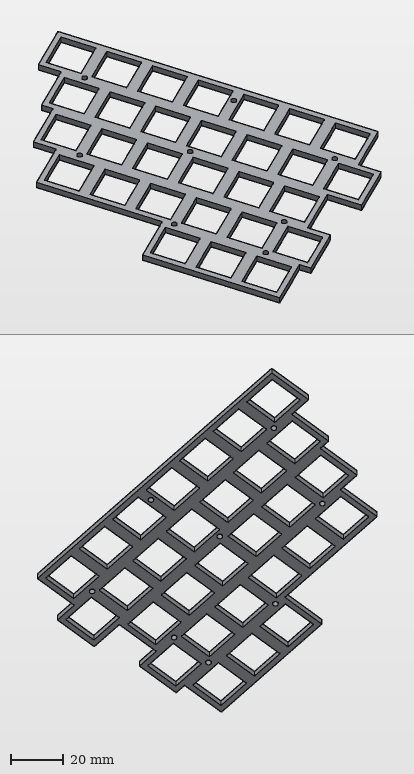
import cadquery as cq

plate_length = 142.9
cells_along_length = 7.5
pitch = plate_length / cells_along_length
thickness = 3.0

cell_border = 2.3
opening = pitch - 2 * cell_border

rows = [(0, 7), (0.5, 7), (0.75, 6), (1.25, 6), (4, 3)]
plate_width = len(rows) * pitch

screw_diameter = 2.1
screw_shift = 0.63
back_screw_shift = 2.7
screws = [
    (4, 4.5, back_screw_shift),
    (1, 4, screw_shift),
    (6.5, 4, -screw_shift),
    (3.75, 3, 0),
    (1.75, 2, screw_shift),
    (6.25, 2, -screw_shift),
    (4.25, 1, screw_shift),
    (6.25, 1, screw_shift),
]


def row_center_y(row_index):
    """Y of a row's centerline, counting rows from the back edge."""
    return plate_width - (row_index + 0.5) * pitch


def row_strip(row_index, first_cell, cell_count):
    """Solid strip covering all the cells of one row."""
    center_x = (first_cell + cell_count / 2) * pitch
    return (
        cq.Workplane("XY")
        .center(center_x, row_center_y(row_index))
        .rect(cell_count * pitch, pitch)
        .extrude(thickness)
    )


plate = cq.Workplane("XY")
for row_index, (first_cell, cell_count) in enumerate(rows):
    plate = plate.union(row_strip(row_index, first_cell, cell_count))
plate = plate.clean()

opening_centers = [
    ((first_cell + cell + 0.5) * pitch, row_center_y(row_index))
    for row_index, (first_cell, cell_count) in enumerate(rows)
    for cell in range(cell_count)
]
openings = (
    cq.Workplane("XY")
    .pushPoints(opening_centers)
    .rect(opening, opening)
    .extrude(thickness)
)

screw_centers = [(cells_x * pitch, cells_y * pitch + shift) for cells_x, cells_y, shift in screws]
screw_holes = (
    cq.Workplane("XY")
    .pushPoints(screw_centers)
    .circle(screw_diameter / 2)
    .extrude(thickness)
)

result = plate.cut(openings).cut(screw_holes)